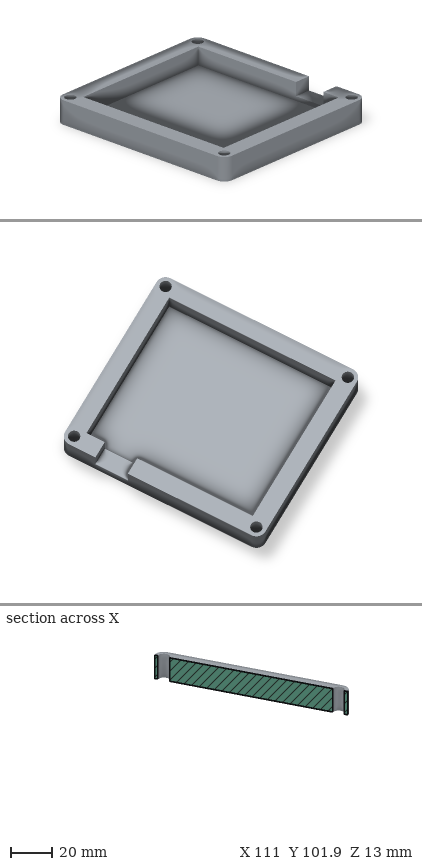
import cadquery as cq

length = 111.0
width = 101.9
height = 13.0
corner_radius = 5.0

wall = 9.4
floor = 3.0
notch_left = 18.0
notch_width = 18.0
notch_floor = 5.4

hole_diameter = 6.0
hole_spacing_x = length - 2 * corner_radius
hole_spacing_y = width - 2 * corner_radius


def block(size_x, size_y, bottom):
    """Centred cutting block reaching from bottom up to the rim."""
    return (
        cq.Workplane("XY")
        .workplane(offset=bottom)
        .rect(size_x, size_y)
        .extrude(height - bottom)
    )


body = (
    cq.Workplane("XY")
    .rect(length, width)
    .extrude(height)
    .edges("|Z")
    .fillet(corner_radius)
)

pocket = block(length - 2 * wall, width - 2 * wall, floor)

notch = block(notch_width, wall, notch_floor).translate(
    (notch_left + notch_width / 2, (width - wall) / 2, 0)
)

screw_holes = (
    cq.Workplane("XY")
    .rect(hole_spacing_x, hole_spacing_y, forConstruction=True)
    .vertices()
    .circle(hole_diameter / 2)
    .extrude(height)
)

result = body.cut(pocket).cut(notch).cut(screw_holes)